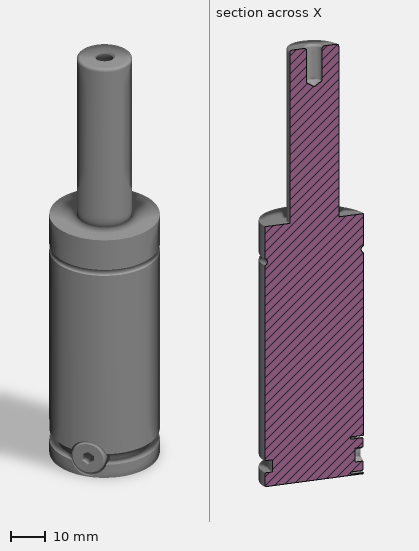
import cadquery as cq
import math

total_height = 130.0
body_diameter = 32.0
body_height = 78.1
rod_diameter = 16.0
rod_edge_radius = 0.9

lower_groove_bottom = 4.3
lower_groove_top = 7.8
lower_groove_depth = 2.5

upper_groove_bottom = 66.4
upper_groove_top = 68.4
upper_groove_depth = 0.8

rod_hole_diameter = 5.0
rod_hole_mouth_diameter = 6.1
rod_hole_depth = 10.4
drill_point_angle = 118.0

plug_height = 6.0
plug_diameter = 10.0
plug_face_diameter = 9.2
plug_face_offset = 15.9
plug_bore_diameter = 11.0
plug_bore_floor_offset = 11.7
socket_width = 3.5
socket_depth = 2.6

body_radius = body_diameter / 2
rod_radius = rod_diameter / 2


def make_turned_body():
    """Revolve the body, its two grooves and the rod as one profile."""
    lower_groove_radius = body_radius - lower_groove_depth
    upper_groove_middle = (upper_groove_bottom + upper_groove_top) / 2
    return (
        cq.Workplane("XZ")
        .lineTo(body_radius, 0)
        .lineTo(body_radius, lower_groove_bottom)
        .lineTo(lower_groove_radius, lower_groove_bottom)
        .lineTo(lower_groove_radius, lower_groove_top)
        .lineTo(body_radius, lower_groove_top)
        .lineTo(body_radius, upper_groove_bottom)
        .threePointArc(
            (body_radius - upper_groove_depth, upper_groove_middle),
            (body_radius, upper_groove_top),
        )
        .lineTo(body_radius, body_height)
        .lineTo(rod_radius, body_height)
        .lineTo(rod_radius, total_height)
        .lineTo(0, total_height)
        .close()
        .revolve(360, (0, 0, 0), (0, 1, 0))
        .faces(">Z")
        .edges()
        .fillet(rod_edge_radius)
    )


def make_rod_hole():
    """Drilled hole with a chamfered mouth and a conical floor."""
    hole_radius = rod_hole_diameter / 2
    mouth_radius = rod_hole_mouth_diameter / 2
    mouth_chamfer = mouth_radius - hole_radius
    floor = total_height - rod_hole_depth
    tip_depth = hole_radius / math.tan(math.radians(drill_point_angle / 2))
    return (
        cq.Workplane("XZ")
        .moveTo(0, floor - tip_depth)
        .lineTo(hole_radius, floor)
        .lineTo(hole_radius, total_height - mouth_chamfer)
        .lineTo(mouth_radius, total_height)
        .lineTo(0, total_height)
        .close()
        .revolve(360, (0, 0, 0), (0, 1, 0))
    )


def plug_plane(offset):
    """Plane facing -Y on the plug axis, at the given distance from the body axis."""
    return cq.Workplane("XZ", origin=(0, -offset, plug_height))


def make_plug_bore():
    """Clearance bore around the plug, open to the outside."""
    bore_length = body_radius - plug_bore_floor_offset
    return plug_plane(plug_bore_floor_offset).circle(plug_bore_diameter / 2).extrude(bore_length)


def make_plug():
    """Chamfered plug with a hexagon socket, one corner pointing up."""
    socket_corner_diameter = socket_width / math.cos(math.pi / 6)
    plug_chamfer = (plug_diameter - plug_face_diameter) / 2
    plug_root_offset = plug_bore_floor_offset - 1.3
    plug = (
        plug_plane(plug_root_offset)
        .circle(plug_diameter / 2)
        .extrude(plug_face_offset - plug_root_offset)
        .faces("<Y")
        .chamfer(plug_chamfer)
    )
    socket = (
        plug_plane(plug_face_offset)
        .transformed(rotate=(0, 0, 90))
        .polygon(6, socket_corner_diameter)
        .extrude(-socket_depth)
    )
    return plug.cut(socket)


result = make_turned_body().cut(make_rod_hole()).cut(make_plug_bore()).union(make_plug())